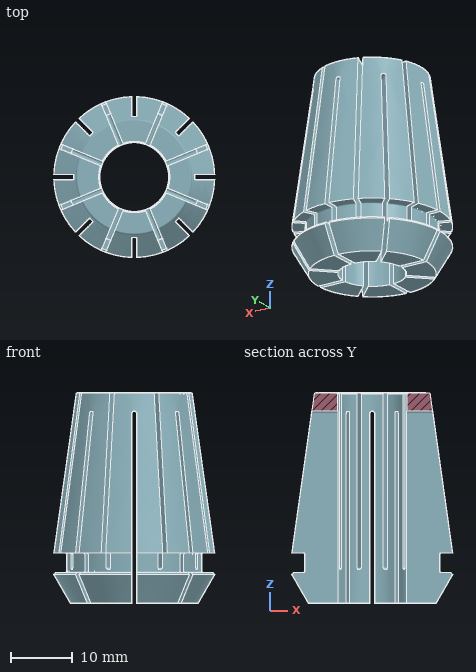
import cadquery as cq
import math

total_height = 34.0
max_radius = 13.0
bore_radius = 11.11 / 2
bore_chamfer = 0.2

taper_half_angle = math.radians(8)
taper_base_z = 8.1
top_edge_fillet = 0.3

groove_floor_z = 5.0
groove_radius = 10.9
groove_corner_fillet = 0.2
flange_chamfer = 0.35
nose_half_angle = math.radians(30)

slots_per_end = 8
slot_pitch = 360 / slots_per_end
slot_width = 0.8
lower_slot_end_z = 31.0
upper_slot_end_z = 5.5
slot_overrun = 1.0

match_tolerance = 0.001

flange_edge_z = groove_floor_z - flange_chamfer
nose_radius = max_radius - flange_edge_z * math.tan(nose_half_angle)
top_radius = max_radius - (total_height - taper_base_z) * math.tan(taper_half_angle)


class RingSelector(cq.Selector):
    """Selects the circular edge of a given radius lying at a given height."""

    def __init__(self, radius, z):
        self.radius = radius
        self.z = z

    def filter(self, edges):
        return [edge for edge in edges if self.matches(edge)]

    def matches(self, edge):
        if edge.geomType() != "CIRCLE":
            return False
        same_radius = abs(edge.radius() - self.radius) < match_tolerance
        same_height = abs(edge.Center().z - self.z) < match_tolerance
        return same_radius and same_height


def collet_blank():
    """Revolved collet body with rounded edges and a chamfered bore."""
    outline = [
        (bore_radius, 0),
        (nose_radius, 0),
        (max_radius, flange_edge_z),
        (max_radius - flange_chamfer, groove_floor_z),
        (groove_radius, groove_floor_z),
        (groove_radius, taper_base_z),
        (max_radius, taper_base_z),
        (top_radius, total_height),
        (bore_radius + bore_chamfer, total_height),
        (bore_radius, total_height - bore_chamfer),
    ]
    blank = cq.Workplane("XZ").polyline(outline).close().revolve(360, (0, 0), (0, 1))

    blank = blank.edges(RingSelector(top_radius, total_height)).fillet(top_edge_fillet)
    for corner_z in (groove_floor_z, taper_base_z):
        blank = blank.edges(RingSelector(groove_radius, corner_z)).fillet(groove_corner_fillet)
    return blank


def slot_cutter(end_z, open_z):
    """Radial slot from the axis outward, round at end_z and open past open_z."""
    half_width = slot_width / 2
    toward_opening = math.copysign(1, open_z - end_z)
    shoulder_z = end_z + toward_opening * half_width
    mouth_z = open_z + toward_opening * slot_overrun
    return (
        cq.Workplane("YZ")
        .moveTo(-half_width, mouth_z)
        .lineTo(-half_width, shoulder_z)
        .threePointArc((0, end_z), (half_width, shoulder_z))
        .lineTo(half_width, mouth_z)
        .close()
        .extrude(max_radius + slot_overrun)
    )


def cut_slots(body, cutter, first_angle):
    """Cut one full ring of equally spaced slots."""
    for index in range(slots_per_end):
        angle = first_angle + index * slot_pitch
        body = body.cut(cutter.rotate((0, 0, 0), (0, 0, 1), angle))
    return body


collet = collet_blank()
collet = cut_slots(collet, slot_cutter(lower_slot_end_z, 0), 0)
collet = cut_slots(collet, slot_cutter(upper_slot_end_z, total_height), slot_pitch / 2)

result = collet